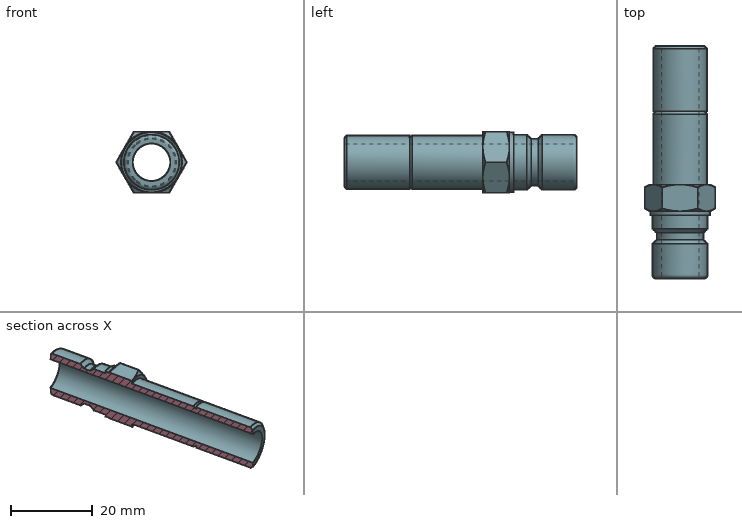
import cadquery as cq
import math

length = 57.0
front = -length / 2
back = length / 2
bore_radius = 4.55

nose_radius = 6.8
nose_fillet = 0.95
groove_radius = 5.75
groove_start = front + 8.5
groove_floor_length = 1.7
groove_flank = nose_radius - groove_radius

collar_radius = 7.35
collar_start = front + 15.5
hex_start = front + 16.55
hex_length = 6.5
hex_end = hex_start + hex_length
across_flats = 15.0
across_corners = across_flats / math.cos(math.pi / 6)
hex_chamfer_angle = math.radians(30)

tail_radius = 6.6
tail_chamfer = 0.7
notch_depth = 0.55
notch_length = 0.7
notch_end = back - 16.0


def make_body():
    """Revolve the stepped round body about the Y axis."""
    floor_start = groove_start + groove_flank
    floor_end = floor_start + groove_floor_length
    return (
        cq.Workplane("XY")
        .moveTo(0, front)
        .lineTo(nose_radius, front)
        .lineTo(nose_radius, groove_start)
        .lineTo(groove_radius, floor_start)
        .lineTo(groove_radius, floor_end)
        .lineTo(nose_radius, floor_end + groove_flank)
        .lineTo(nose_radius, collar_start)
        .lineTo(collar_radius, collar_start)
        .lineTo(collar_radius, hex_start)
        .lineTo(tail_radius, hex_start)
        .lineTo(tail_radius, notch_end - notch_length)
        .lineTo(tail_radius - notch_depth, notch_end)
        .lineTo(tail_radius, notch_end)
        .lineTo(tail_radius, back)
        .lineTo(0, back)
        .close()
        .revolve(360, (0, 0, 0), (0, 1, 0))
        .faces("<Y").edges().fillet(nose_fillet)
        .faces(">Y").edges().chamfer(tail_chamfer)
    )


def make_hexagon():
    """Hexagon with corners on the X axis, both ends turned to a cone."""
    prism = (
        cq.Workplane("XZ", origin=(0, hex_end, 0))
        .polygon(6, across_corners)
        .extrude(hex_length)
    )
    flat_radius = across_flats / 2
    corner_radius = across_corners / 2
    corner_drop = (corner_radius - flat_radius) * math.tan(hex_chamfer_angle)
    envelope = (
        cq.Workplane("XY")
        .moveTo(0, hex_start)
        .lineTo(flat_radius, hex_start)
        .lineTo(corner_radius, hex_start + corner_drop)
        .lineTo(corner_radius, hex_end - corner_drop)
        .lineTo(flat_radius, hex_end)
        .lineTo(0, hex_end)
        .close()
        .revolve(360, (0, 0, 0), (0, 1, 0))
    )
    return prism.intersect(envelope)


bore = cq.Workplane("XZ", origin=(0, back, 0)).circle(bore_radius).extrude(length)

result = make_body().union(make_hexagon()).cut(bore)